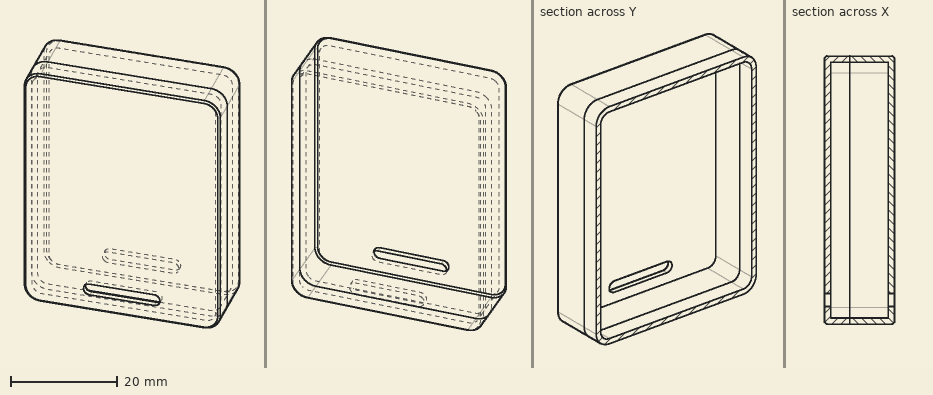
import cadquery as cq

WIDTH = 38.6
HEIGHT = 50.6
DEPTH = 13.2
CORNER_RADIUS = 3.2
EDGE_CHAMFER = 0.4
WALL = 1.2
COVER_DEPTH = 4.8

SLOT_LENGTH = 15.1
SLOT_HEIGHT = 2.4
SLOT_FROM_BOTTOM = 4.6

CAVITY_WIDTH = WIDTH - 2 * WALL
CAVITY_HEIGHT = HEIGHT - 2 * WALL
CAVITY_CORNER_RADIUS = CORNER_RADIUS - WALL
SLOT_Z = SLOT_FROM_BOTTOM - HEIGHT / 2


def plane_at(y):
    """Workplane at depth y whose extrusions run toward +Y."""
    return cq.Workplane("XZ", origin=(0, y, 0)).transformed(rotate=(180, 0, 0))


def rounded_block(width, height, radius, y_start, y_end):
    """Block with rounded corners along its depth, spanning y_start to y_end."""
    block = plane_at(y_start).rect(width, height).extrude(y_end - y_start)
    return block.edges("|Y").fillet(radius)


def slot_cutter():
    """Round-ended slot that passes through the full depth of the case."""
    slot = cq.Workplane("XZ").slot2D(SLOT_LENGTH, SLOT_HEIGHT).extrude(-DEPTH)
    return slot.translate((0, 0, SLOT_Z))


def case_half(y_start, y_end, outer_face):
    """Tray between two depths, with its outer rim chamfered and open at the parting plane."""
    tray = rounded_block(WIDTH, HEIGHT, CORNER_RADIUS, y_start, y_end)
    tray = tray.faces(outer_face).edges().chamfer(EDGE_CHAMFER)
    cavity = rounded_block(CAVITY_WIDTH, CAVITY_HEIGHT, CAVITY_CORNER_RADIUS, WALL, DEPTH - WALL)
    return tray.cut(cavity).cut(slot_cutter())


front_cover = case_half(0, COVER_DEPTH, "<Y")
rear_housing = case_half(COVER_DEPTH, DEPTH, ">Y")

result = cq.Compound.makeCompound([front_cover.val(), rear_housing.val()])